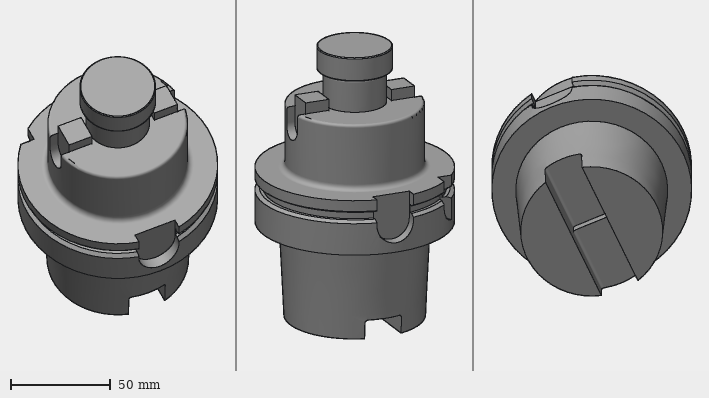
import cadquery as cq
import math


SHANK_LENGTH = 50.0
SHANK_TOP_DIA = 76.0
SHANK_END_DIA = 71.0
DRIVE_SLOT_WIDTH = 20.0
DRIVE_SLOT_HEIGHT = 10.0
DEEP_DRIVE_SLOT_HEIGHT = 15.0
DRIVE_SLOT_FILLET = 1.5

FLANGE_DIA = 100.0
FLANGE_HEIGHT = 29.0
GROOVE_CENTER_Z = 20.0
GROOVE_FLOOR_DIA = 92.0
GROOVE_FLOOR_WIDTH = 4.0
GROOVE_FLANK_DEPTH = 2.2
GROOVE_FLANK_RISE = GROOVE_FLANK_DEPTH * math.tan(math.radians(30))

NOTCH_FLOOR_X = 44.0
NOTCH_CENTER_Z = 15.0
NOTCH_WIDTH = 20.0
WIDE_NOTCH_WIDTH = 22.0
CORNER_NOTCH_OFFSET = 31.5
CORNER_NOTCH_WIDTH = 20.0

NOSE_DIA = 70.0
NOSE_TOP_Z = 63.65
NOSE_TOP_FILLET = 1.5
NOSE_BASE_FILLET = 3.0

PILOT_DIA = 32.0
PILOT_LENGTH = 17.5
PILOT_TOP_Z = NOSE_TOP_Z + PILOT_LENGTH
PILOT_FILLET = 2.0
HEAD_DIA = 38.0
HEAD_HEIGHT = 12.5
HEAD_CHAMFER = 0.5

KEY_WIDTH = 13.0
KEY_INNER_Y = 17.2
KEY_OUTER_Y = 29.9
KEY_TOP_Z = 69.5
KEY_ROUND_Z = 55.0


def round_bottom_prism(width, round_z, top_z, depth):
    """Upright profile with a half-round lower end, drawn across X and pushed from Y = 0 toward +Y."""
    half_width = width / 2
    return (
        cq.Workplane("XZ")
        .moveTo(-half_width, top_z)
        .lineTo(-half_width, round_z)
        .threePointArc((0, round_z - half_width), (half_width, round_z))
        .lineTo(half_width, top_z)
        .close()
        .extrude(-depth)
    )


def make_turned_blank():
    """Revolved shank, flange, nose and pilot."""
    flange_radius = FLANGE_DIA / 2
    groove_radius = GROOVE_FLOOR_DIA / 2
    flank_radius = flange_radius - GROOVE_FLANK_DEPTH
    groove_low_z = GROOVE_CENTER_Z - GROOVE_FLOOR_WIDTH / 2
    groove_high_z = GROOVE_CENTER_Z + GROOVE_FLOOR_WIDTH / 2
    nose_radius = NOSE_DIA / 2
    pilot_radius = PILOT_DIA / 2
    nose_fillet_radius = nose_radius - NOSE_TOP_FILLET
    pilot_fillet_radius = pilot_radius - PILOT_FILLET
    base_fillet_center = (nose_radius + NOSE_BASE_FILLET, FLANGE_HEIGHT + NOSE_BASE_FILLET)
    diagonal = math.sqrt(0.5)
    return (
        cq.Workplane("XZ")
        .moveTo(0, -SHANK_LENGTH)
        .lineTo(SHANK_END_DIA / 2, -SHANK_LENGTH)
        .lineTo(SHANK_TOP_DIA / 2, 0)
        .lineTo(flange_radius, 0)
        .lineTo(flange_radius, groove_low_z - GROOVE_FLANK_RISE)
        .lineTo(flank_radius, groove_low_z)
        .lineTo(groove_radius, groove_low_z)
        .lineTo(groove_radius, groove_high_z)
        .lineTo(flank_radius, groove_high_z)
        .lineTo(flange_radius, groove_high_z + GROOVE_FLANK_RISE)
        .lineTo(flange_radius, FLANGE_HEIGHT)
        .lineTo(base_fillet_center[0], FLANGE_HEIGHT)
        .threePointArc(
            (
                base_fillet_center[0] - NOSE_BASE_FILLET * diagonal,
                base_fillet_center[1] - NOSE_BASE_FILLET * diagonal,
            ),
            (nose_radius, base_fillet_center[1]),
        )
        .lineTo(nose_radius, NOSE_TOP_Z - NOSE_TOP_FILLET)
        .threePointArc(
            (
                nose_fillet_radius + NOSE_TOP_FILLET * diagonal,
                NOSE_TOP_Z - NOSE_TOP_FILLET + NOSE_TOP_FILLET * diagonal,
            ),
            (nose_fillet_radius, NOSE_TOP_Z),
        )
        .lineTo(pilot_radius, NOSE_TOP_Z)
        .lineTo(pilot_radius, PILOT_TOP_Z - PILOT_FILLET)
        .threePointArc(
            (
                pilot_fillet_radius + PILOT_FILLET * diagonal,
                PILOT_TOP_Z - PILOT_FILLET + PILOT_FILLET * diagonal,
            ),
            (pilot_fillet_radius, PILOT_TOP_Z),
        )
        .lineTo(0, PILOT_TOP_Z)
        .close()
        .revolve(360, (0, 0, 0), (0, 1, 0))
    )


def make_flange_notch(width, turn):
    """Notch cutter for the flange rim, turned about Z from the +Y side."""
    reach = FLANGE_DIA / 2
    return (
        round_bottom_prism(width, NOTCH_CENTER_Z, FLANGE_HEIGHT, reach)
        .translate((0, NOTCH_FLOOR_X, 0))
        .rotate((0, 0, 0), (0, 0, 1), turn)
    )


def make_corner_notch():
    """Notch cutter running along X at the (-X, -Y) side of the rim."""
    return (
        round_bottom_prism(CORNER_NOTCH_WIDTH, NOTCH_CENTER_Z, FLANGE_HEIGHT, FLANGE_DIA / 2)
        .rotate((0, 0, 0), (0, 0, 1), 90)
        .translate((-CORNER_NOTCH_OFFSET, -CORNER_NOTCH_OFFSET - CORNER_NOTCH_WIDTH / 2, 0))
    )


def make_drive_slot(height, side):
    """Slot cutter in the shank end, from the axis out through the wall on the +X or -X side."""
    length = SHANK_TOP_DIA / 2
    return (
        cq.Workplane("XY", origin=(side * length / 2, 0, -SHANK_LENGTH))
        .box(length, DRIVE_SLOT_WIDTH, height, centered=(True, True, False))
        .edges("|X and >Z")
        .fillet(DRIVE_SLOT_FILLET)
    )


def make_key_slot(turn):
    """Key slot cutter in the nose, open at the top and at the outer wall."""
    return (
        round_bottom_prism(KEY_WIDTH, KEY_ROUND_Z, NOSE_TOP_Z, NOSE_DIA / 2)
        .translate((0, KEY_INNER_Y, 0))
        .rotate((0, 0, 0), (0, 0, 1), turn)
    )


def make_key(turn):
    """Drive key seated at the inner end of its slot."""
    return (
        round_bottom_prism(KEY_WIDTH, KEY_ROUND_Z, KEY_TOP_Z, KEY_OUTER_Y - KEY_INNER_Y)
        .translate((0, KEY_INNER_Y, 0))
        .rotate((0, 0, 0), (0, 0, 1), turn)
    )


def make_holder(key_turns):
    """Tool holder with its notches, drive slots and key slots."""
    holder = (
        make_turned_blank()
        .cut(make_flange_notch(NOTCH_WIDTH, 90))
        .cut(make_flange_notch(WIDE_NOTCH_WIDTH, -90))
        .cut(make_corner_notch())
        .cut(make_drive_slot(DRIVE_SLOT_HEIGHT, -1))
        .cut(make_drive_slot(DEEP_DRIVE_SLOT_HEIGHT, 1))
    )
    for turn in key_turns:
        holder = holder.cut(make_key_slot(turn))
    return holder


def make_screw_head():
    """Clamping screw head resting on the pilot."""
    return (
        cq.Workplane("XY", origin=(0, 0, PILOT_TOP_Z))
        .circle(HEAD_DIA / 2)
        .extrude(HEAD_HEIGHT)
        .edges()
        .chamfer(HEAD_CHAMFER)
    )


KEY_TURNS = (0, 180)

holder = make_holder(KEY_TURNS)
keys = [make_key(turn) for turn in KEY_TURNS]
screw_head = make_screw_head()

result = cq.Compound.makeCompound([holder.val(), *[key.val() for key in keys], screw_head.val()])